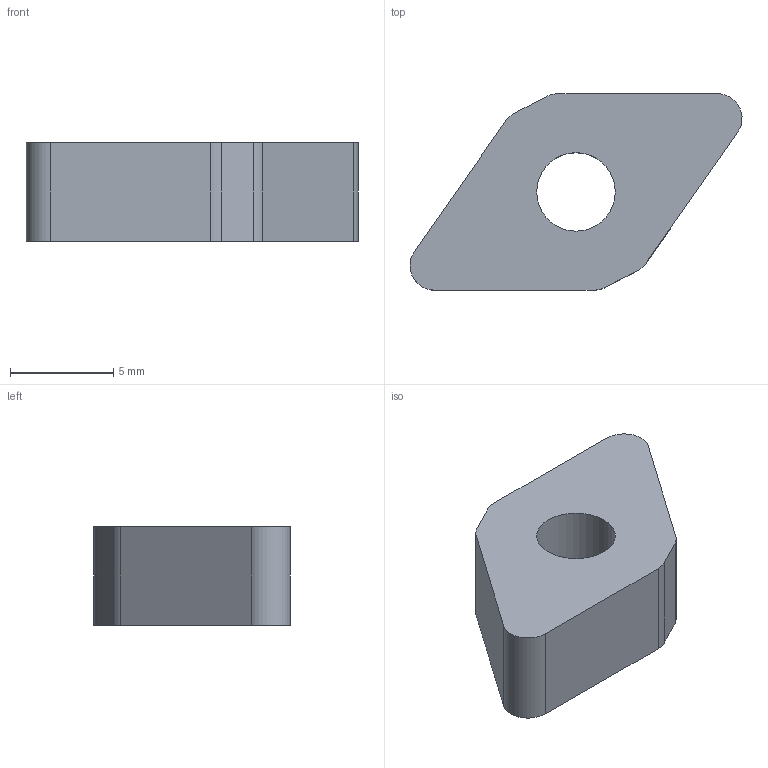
import cadquery as cq
import math

inscribed_diameter = 9.525
thickness = 4.76
nose_angle = 55.0
corner_radius = 1.1906
hole_diameter = 3.81

inscribed_radius = inscribed_diameter / 2


def tangent_corner(first_normal, second_normal):
    """Corner where two sides tangent to the inscribed circle meet, given their normal angles."""
    half_turn = math.radians(second_normal - first_normal) / 2
    direction = math.radians(first_normal + second_normal) / 2
    distance = inscribed_radius / math.cos(half_turn)
    return (distance * math.cos(direction), distance * math.sin(direction))


def outline_corners():
    """Six corners, counterclockwise, of the rhombus with both obtuse corners cut flat."""
    bottom_side = -90.0
    corner_flat = bottom_side + nose_angle / 2
    slanted_side = bottom_side + nose_angle
    top_side = bottom_side + 180.0
    half_outline = [bottom_side, corner_flat, slanted_side, top_side]
    corners = [tangent_corner(a, b) for a, b in zip(half_outline, half_outline[1:])]
    return corners + [(-x, -y) for x, y in corners]


def insert_body():
    """Prism with every vertical edge rounded to the nose radius."""
    prism = cq.Workplane("XY").polyline(outline_corners()).close().extrude(thickness)
    return prism.edges("|Z").fillet(corner_radius)


def clamping_hole():
    """Cylinder through the full thickness at the centre."""
    return cq.Workplane("XY").circle(hole_diameter / 2).extrude(thickness)


result = insert_body().cut(clamping_hole())